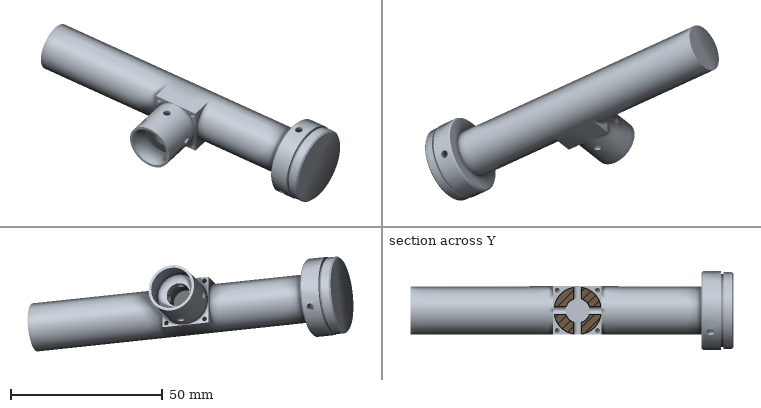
import cadquery as cq
import math

barrel_diameter = 16.0
barrel_radius = barrel_diameter / 2
total_length = 106.6

flange_start = 96.1
flange_diameter = 26.0
flange_chamfer = 0.5
groove_start = 102.6
groove_width = 0.8
groove_diameter = 24.0
lip_diameter = 25.5
lip_chamfer = 0.5

flange_hole_diameter = 2.5
flange_hole_depth = 4.0
flange_hole_x = 99.1
flange_hole_count = 3
flange_hole_start_angle = 86.5

branch_x = 55.1
block_size = barrel_diameter
block_face = 9.0

corner_hole_diameter = 1.6
corner_hole_depth = 4.0
corner_hole_pitch = 13.3

socket_end = 24.0
socket_diameter = 15.8
socket_bore = 14.0
socket_floor = 16.6
inner_bore = 8.0

cross_hole_diameter = 2.5
cross_hole_distance = 14.0

drill_point_angle = 118.0


def drill(diameter, depth, mouth, direction):
    """Round cutter with a conical point, starting at the hole mouth and running along direction."""
    radius = diameter / 2
    point = radius / math.tan(math.radians(drill_point_angle / 2))
    start = cq.Vector(*mouth)
    axis = cq.Vector(*direction)
    shank = cq.Solid.makeCylinder(radius, depth, start, axis)
    cone = cq.Solid.makeCone(radius, 0, point, start + axis.multiply(depth), axis)
    return cq.Workplane(shank).union(cq.Workplane(cone))


def make_barrel_and_flange():
    """Barrel, flange, groove and lip as one turned profile."""
    flange_radius = flange_diameter / 2
    groove_radius = groove_diameter / 2
    lip_radius = lip_diameter / 2
    groove_end = groove_start + groove_width
    return (
        cq.Workplane("XY")
        .moveTo(0, 0)
        .lineTo(0, barrel_radius)
        .lineTo(flange_start, barrel_radius)
        .lineTo(flange_start, flange_radius - flange_chamfer)
        .lineTo(flange_start + flange_chamfer, flange_radius)
        .lineTo(groove_start, flange_radius)
        .lineTo(groove_start, groove_radius)
        .lineTo(groove_end, groove_radius)
        .lineTo(groove_end, lip_radius)
        .lineTo(total_length - lip_chamfer, lip_radius)
        .lineTo(total_length, lip_radius - lip_chamfer)
        .lineTo(total_length, 0)
        .close()
        .revolve(360, (0, 0, 0), (1, 0, 0))
    )


def branch_cylinder(diameter, near, far):
    """Cylinder on the socket axis between two distances from the barrel axis."""
    start = cq.Vector(branch_x, -near, 0)
    return cq.Workplane(cq.Solid.makeCylinder(diameter / 2, far - near, start, cq.Vector(0, -1, 0)))


def add_branch(body):
    """Square block with its socket and stepped bore."""
    block = cq.Workplane("XY").box(block_size, block_face, block_size)
    block = block.translate((branch_x, -block_face / 2, 0))
    body = body.union(block).union(branch_cylinder(socket_diameter, block_face, socket_end))
    body = body.cut(branch_cylinder(socket_bore, socket_floor, socket_end))
    return body.cut(branch_cylinder(inner_bore, block_face, socket_floor))


def cut_corner_holes(body):
    """Four blind screw holes in the corners of the block face."""
    offset = corner_hole_pitch / 2
    for side_x in (-1, 1):
        for side_z in (-1, 1):
            mouth = (branch_x + side_x * offset, -block_face, side_z * offset)
            body = body.cut(drill(corner_hole_diameter, corner_hole_depth, mouth, (0, 1, 0)))
    return body


def cut_cross_holes(body):
    """Holes right through the socket, along X and along Z, meeting the inner bore."""
    radius = cross_hole_diameter / 2
    reach = socket_diameter / 2
    centre = cq.Vector(branch_x, -cross_hole_distance, 0)
    for axis in (cq.Vector(1, 0, 0), cq.Vector(0, 0, 1)):
        start = centre - axis.multiply(reach)
        body = body.cut(cq.Workplane(cq.Solid.makeCylinder(radius, 2 * reach, start, axis)))
    return body


def cut_flange_holes(body):
    """Blind radial holes, equally spaced around the flange."""
    radius = flange_diameter / 2
    for index in range(flange_hole_count):
        angle = math.radians(flange_hole_start_angle + index * 360 / flange_hole_count)
        out_y = -math.cos(angle)
        out_z = math.sin(angle)
        mouth = (flange_hole_x, radius * out_y, radius * out_z)
        body = body.cut(drill(flange_hole_diameter, flange_hole_depth, mouth, (0, -out_y, -out_z)))
    return body


result = make_barrel_and_flange()
result = add_branch(result)
result = cut_corner_holes(result)
result = cut_cross_holes(result)
result = cut_flange_holes(result)